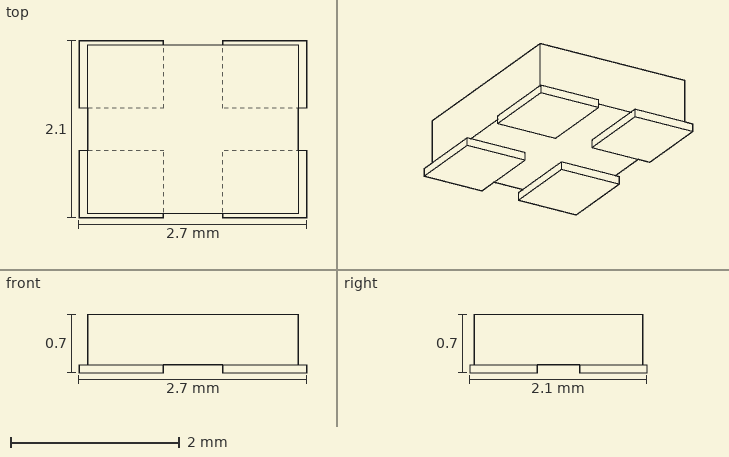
import cadquery as cq

overall_length = 2.7
overall_width = 2.1
overall_height = 0.7

pad_length = 1.0
pad_width = 0.8
pad_thickness = 0.1

pad_overhang_x = 0.1
pad_overhang_y = 0.05

case_length = overall_length - 2 * pad_overhang_x
case_width = overall_width - 2 * pad_overhang_y
case_height = overall_height - pad_thickness


def make_case():
    """Plain rectangular case whose underside lies on top of the pads."""
    return (
        cq.Workplane("XY")
        .workplane(offset=pad_thickness)
        .box(case_length, case_width, case_height, centered=(True, True, False))
    )


def make_pad(side_x, side_y):
    """Flat pad in the corner given by the signs side_x and side_y."""
    center_x = side_x * (overall_length - pad_length) / 2
    center_y = side_y * (overall_width - pad_width) / 2
    return (
        cq.Workplane("XY")
        .center(center_x, center_y)
        .box(pad_length, pad_width, pad_thickness, centered=(True, True, False))
    )


case = make_case()
pads = [make_pad(side_x, side_y) for side_x in (-1, 1) for side_y in (-1, 1)]

result = cq.Compound.makeCompound([case.val(), *[pad.val() for pad in pads]])